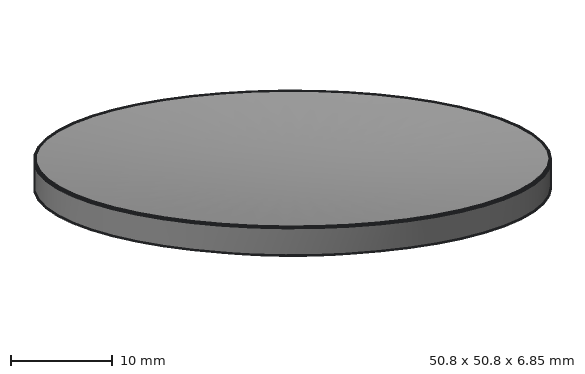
import cadquery as cq

diameter = 50.8
height = 6.85
convex_sag = 3.95
concave_sag = 1.3
chamfer = 0.15

radius = diameter / 2
face_radius = radius - chamfer


def sphere_radius(half_chord, sag):
    """Radius of the sphere whose cap has this half chord and sag."""
    return (half_chord**2 + sag**2) / (2 * sag)


def arc_height(sphere, distance):
    """Rise of a sphere above its lowest point at a distance from the axis."""
    return sphere - (sphere**2 - distance**2) ** 0.5


convex_sphere = sphere_radius(radius, convex_sag)
concave_sphere = sphere_radius(face_radius, concave_sag)
concave_bottom = height - concave_sag
half_convex = radius / 2
half_concave = face_radius / 2

section = (
    cq.Workplane("XZ")
    .moveTo(0, 0)
    .threePointArc((half_convex, arc_height(convex_sphere, half_convex)), (radius, convex_sag))
    .lineTo(radius, height - chamfer)
    .lineTo(face_radius, height)
    .threePointArc(
        (half_concave, concave_bottom + arc_height(concave_sphere, half_concave)),
        (0, concave_bottom),
    )
    .close()
)

result = section.revolve(360, (0, 0, 0), (0, 1, 0))